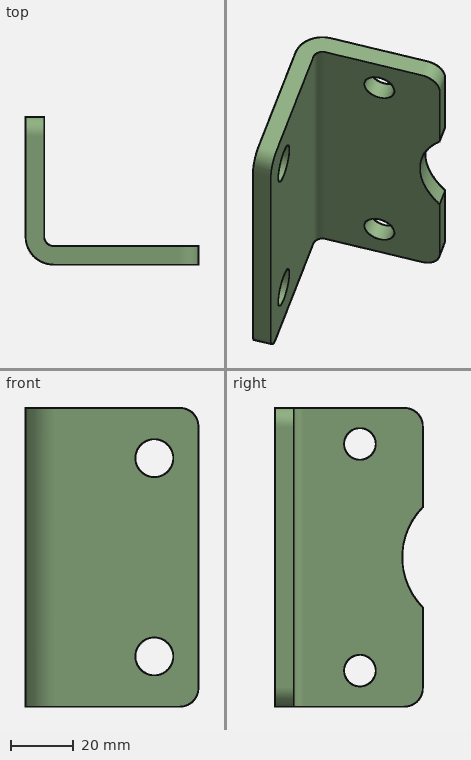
import cadquery as cq

width = 55.0
depth = 47.0
height = 95.0
thickness = 6.0
bend_inner_radius = 3.0
bend_outer_radius = bend_inner_radius + thickness
corner_radius = 6.0

wide_hole_diameter = 12.0
wide_hole_x = 40.9
wide_hole_spacing = 63.0

narrow_hole_diameter = 10.0
narrow_hole_y = 27.0
narrow_hole_spacing = 72.0

notch_depth = 6.6
notch_half_chord = 16.0
notch_radius = (notch_half_chord**2 + notch_depth**2) / (2 * notch_depth)
notch_center_y = depth - notch_depth + notch_radius


def bent_plate():
    """L profile with a rounded bend, extruded upward and centred on Z = 0."""
    plate = (
        cq.Workplane("XY")
        .workplane(offset=-height / 2)
        .polyline([
            (0, 0),
            (width, 0),
            (width, thickness),
            (thickness, thickness),
            (thickness, depth),
            (0, depth),
        ])
        .close()
        .extrude(height)
    )
    outer_bend = cq.selectors.NearestToPointSelector((0, 0, 0))
    inner_bend = cq.selectors.NearestToPointSelector((thickness, thickness, 0))
    plate = plate.edges("|Z").edges(outer_bend).fillet(bend_outer_radius)
    return plate.edges("|Z").edges(inner_bend).fillet(bend_inner_radius)


def round_free_corners(plate):
    """Round the top and bottom corners at the free end of each flange."""
    plate = plate.faces(">X").edges("|Y").fillet(corner_radius)
    return plate.faces(">Y").edges("|X").fillet(corner_radius)


def hole_pair(plane, position, spacing, diameter, length):
    """Two cylinders placed symmetrically about Z = 0."""
    return (
        cq.Workplane(plane)
        .pushPoints([(position, side * spacing / 2) for side in (-1, 1)])
        .circle(diameter / 2)
        .extrude(length)
    )


wide_holes = hole_pair("XZ", wide_hole_x, wide_hole_spacing, wide_hole_diameter, -thickness)
narrow_holes = hole_pair("YZ", narrow_hole_y, narrow_hole_spacing, narrow_hole_diameter, thickness)
notch = cq.Workplane("YZ").center(notch_center_y, 0).circle(notch_radius).extrude(thickness)

result = round_free_corners(bent_plate()).cut(wide_holes).cut(narrow_holes).cut(notch)